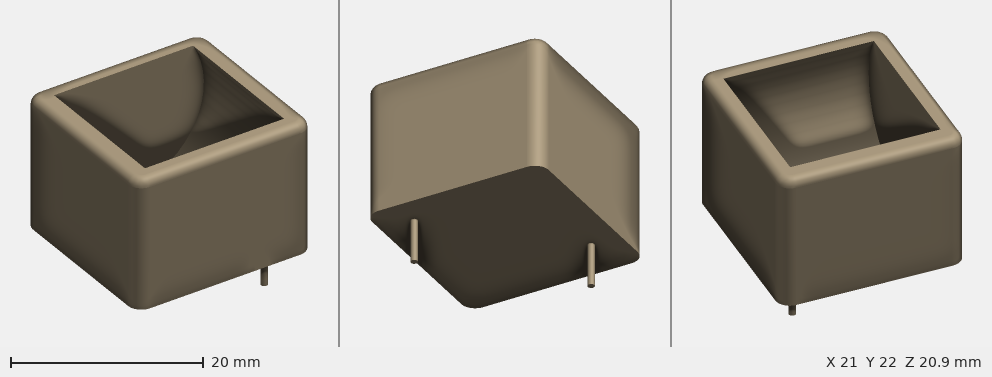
import cadquery as cq
import math

body_width = 21.0
body_length = 22.0
body_height = 15.88
corner_radius = 1.65
top_fillet = 1.0

cavity_width = 17.0
cavity_radius = 10.0
opening_length = 17.31
cavity_axis_depth = math.sqrt(cavity_radius**2 - (opening_length / 2)**2)

pin_diameter = 0.8
pin_length = 5.0
pin_positions = [(-7.0, -5.76), (6.6, 7.45)]


def make_body():
    """Block standing on Z = 0 with rounded vertical corners and a rounded top rim."""
    block = cq.Workplane("XY").box(body_width, body_length, body_height, centered=(True, True, False))
    return block.edges("|Z").fillet(corner_radius).faces(">Z").edges().fillet(top_fillet)


def make_cavity():
    """Horizontal cylinder, cut off by the top face above its axis."""
    return (
        cq.Workplane("YZ")
        .center(0, body_height - cavity_axis_depth)
        .circle(cavity_radius)
        .extrude(cavity_width / 2, both=True)
    )


def make_pins():
    """Round pins reaching down from the underside."""
    return cq.Workplane("XY").pushPoints(pin_positions).circle(pin_diameter / 2).extrude(-pin_length)


result = make_body().cut(make_cavity()).union(make_pins())